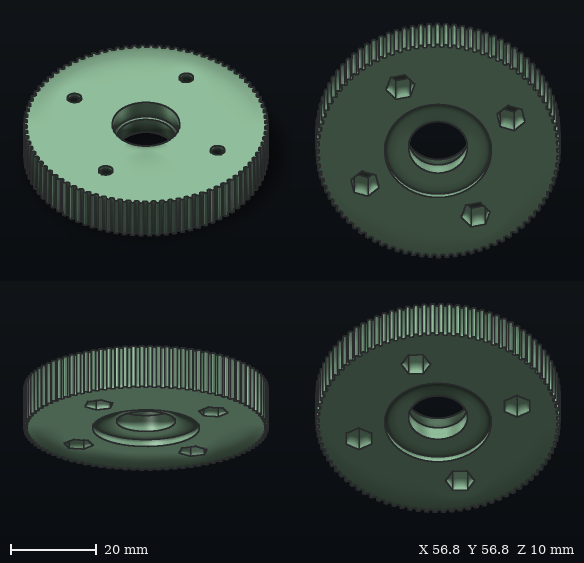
import cadquery as cq
import math

outer_diameter = 56.8
thickness = 10.0
tooth_count = 90

mouth_width = 1.5
lip_width = 1.3
lip_depth = 0.037
shoulder_width = 1.2
shoulder_depth = 0.13
flank_width = 1.1
flank_depth = 0.35
floor_width = 0.9
floor_depth = 0.54
groove_depth = 0.75

bore_diameter = 13.7
seat_diameter = 15.7
seat_depth = 4.4
recess_diameter = 24.8
recess_depth = 1.7

hole_diameter = 3.3
hole_spacing = 27.05
hole_length = 1.0
pocket_across_flats = 5.9
hole_count = 4

outer_radius = outer_diameter / 2
tooth_pitch = 360 / tooth_count
mouth_distance = math.sqrt(outer_radius**2 - (mouth_width / 2) ** 2)
pocket_across_corners = pocket_across_flats / math.cos(math.radians(30))


def polar(radius, degrees):
    angle = math.radians(degrees)
    return (radius * math.cos(angle), radius * math.sin(angle))


def groove_point(middle, width, depth, side):
    """Point on one side (-1 or +1) of the groove whose centreline is at the angle `middle`."""
    radial = mouth_distance - depth
    across = side * width / 2
    return polar(math.hypot(radial, across), middle + math.degrees(math.atan2(across, radial)))


def add_groove(outline, middle):
    """Rounded lip, bowed flank and round floor, then the same flank and lip on the other side."""
    shoulder, flank, floor = [
        [groove_point(middle, width, depth, side) for side in (-1, 1)]
        for width, depth in (
            (shoulder_width, shoulder_depth),
            (flank_width, flank_depth),
            (floor_width, floor_depth),
        )
    ]
    lip = [groove_point(middle, lip_width, lip_depth, side) for side in (-1, 1)]
    return (
        outline.threePointArc(lip[0], shoulder[0])
        .threePointArc(flank[0], floor[0])
        .threePointArc(groove_point(middle, 0, groove_depth, 1), floor[1])
        .threePointArc(flank[1], shoulder[1])
        .threePointArc(lip[1], groove_point(middle, mouth_width, 0, 1))
    )


def toothed_disc():
    """Disc with belt grooves all round its rim, the first one centred on +X."""
    outline = cq.Workplane("XY").moveTo(*groove_point(0, mouth_width, 0, -1))
    for tooth in range(tooth_count):
        middle = tooth * tooth_pitch
        outline = add_groove(outline, middle).threePointArc(
            polar(outer_radius, middle + tooth_pitch / 2),
            groove_point(middle + tooth_pitch, mouth_width, 0, -1),
        )
    return outline.close().extrude(thickness)


def stepped_bore():
    """Through bore with a bearing seat sunk from the top face and a wide recess in the bottom face."""
    bore = cq.Workplane("XY").circle(bore_diameter / 2).extrude(thickness)
    seat = cq.Workplane("XY", origin=(0, 0, thickness)).circle(seat_diameter / 2).extrude(-seat_depth)
    recess = cq.Workplane("XY").circle(recess_diameter / 2).extrude(recess_depth)
    return bore.union(seat).union(recess)


def mounting_hole():
    """Hole in the +X +Y quadrant, widened from below by a hexagonal pocket with two corners along Y."""
    hole = cq.Workplane("XY").circle(hole_diameter / 2).extrude(thickness)
    pocket = (
        cq.Workplane("XY")
        .polygon(6, pocket_across_corners)
        .extrude(thickness - hole_length)
        .rotate((0, 0, 0), (0, 0, 1), 30)
    )
    return hole.union(pocket).translate((hole_spacing / 2, hole_spacing / 2, 0))


result = toothed_disc().cut(stepped_bore())
for index in range(hole_count):
    result = result.cut(mounting_hole().rotate((0, 0, 0), (0, 0, 1), index * 360 / hole_count))